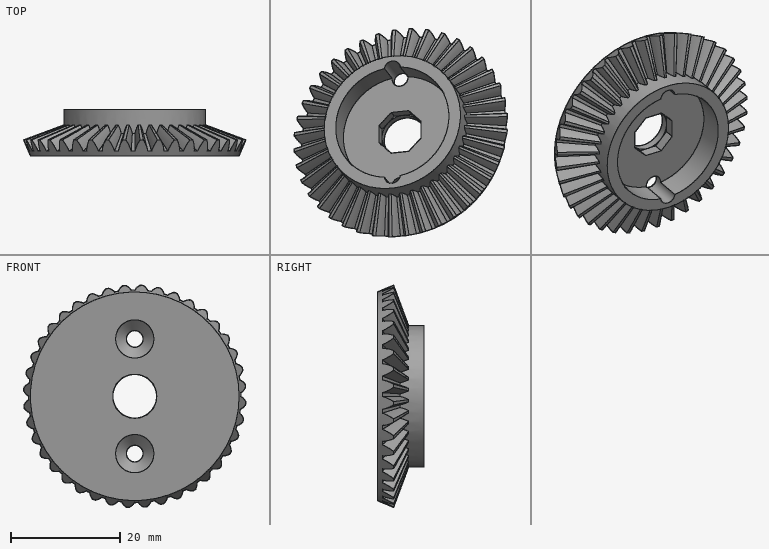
import cadquery as cq
import math


tooth_count = 40
mate_tooth_count = 17
pitch_diameter = 40.0
pitch_height = 2.08
first_tooth_angle = 5.4
gap_floor_half_width = 0.345
gap_pitch_half_width = 0.77
gap_tip_half_width = 1.3

module = pitch_diameter / tooth_count
addendum = module
dedendum = 1.25 * module
pitch_radius = pitch_diameter / 2
pitch_angle = math.atan2(tooth_count, mate_tooth_count)
apex_height = pitch_height + pitch_radius / math.tan(pitch_angle)
tooth_pitch_angle = 360 / tooth_count

total_height = 8.6
hub_radius = 13.0

bore_diameter = 8.0
bore_depth = 1.5
socket_sides = 8
socket_width = bore_diameter
web_thickness = 3.5
recess_radius = 10.8

screw_hole_diameter = 3.0
countersink_diameter = 7.0
countersink_angle = 90
screw_hole_offset = 10.5


def back_cone_point(rise):
    """Radius and height of a point on the back cone, a distance outside the pitch circle."""
    return (
        pitch_radius + rise * math.cos(pitch_angle),
        pitch_height + rise * math.sin(pitch_angle),
    )


def make_blank():
    """Turned body below the hub, with the tooth tips still joined in a full ring."""
    tip_radius, tip_height = back_cone_point(addendum)
    face_radius, _ = back_cone_point(-pitch_height / math.sin(pitch_angle))
    tip_slope = (apex_height - tip_height) / tip_radius
    hub_foot_height = apex_height - tip_slope * hub_radius
    return (
        cq.Workplane("XY")
        .moveTo(0, 0)
        .lineTo(face_radius, 0)
        .lineTo(tip_radius, tip_height)
        .lineTo(hub_radius, hub_foot_height)
        .lineTo(0, hub_foot_height)
        .close()
        .revolve(360, (0, 0, 0), (0, 1, 0))
    )


def gap_section(scale):
    """Outline of a tooth gap, square to the pitch cone and shrunk towards the cone apex."""
    center = (pitch_radius * scale, apex_height + (pitch_height - apex_height) * scale, 0)
    outward = (math.sin(pitch_angle), -math.cos(pitch_angle), 0)
    plane = cq.Plane(origin=center, xDir=(0, 0, -1), normal=outward)
    floor = -dedendum * scale
    tip = addendum * scale
    top = 2 * tip
    floor_half = gap_floor_half_width * scale
    pitch_half = gap_pitch_half_width * scale
    tip_half = gap_tip_half_width * scale
    return (
        cq.Workplane(plane)
        .moveTo(-floor_half, floor)
        .lineTo(floor_half, floor)
        .threePointArc((pitch_half, 0), (tip_half, tip))
        .lineTo(tip_half, top)
        .lineTo(-tip_half, top)
        .lineTo(-tip_half, tip)
        .threePointArc((-pitch_half, 0), (-floor_half, floor))
        .close()
        .wires()
        .val()
    )


def make_gaps():
    """All tooth gaps, running in past the hub wall, which later fills their inner ends."""
    outer_scale = 1.1
    inner_scale = 0.6
    gap = cq.Solid.makeLoft([gap_section(outer_scale), gap_section(inner_scale)], True)
    start_angle = first_tooth_angle + tooth_pitch_angle / 2
    gaps = []
    for index in range(tooth_count):
        angle = start_angle + index * tooth_pitch_angle
        gaps.append(gap.rotate(cq.Vector(0, 0, 0), cq.Vector(0, -1, 0), angle))
    return cq.Compound.makeCompound(gaps)


def cut_center(body):
    """Round bore in the face, octagonal socket with flats across X and Z, and hub recess."""
    bore = cq.Workplane("XZ").circle(bore_diameter / 2).extrude(-bore_depth)
    corner_angle = 180 / socket_sides
    socket_corner_diameter = socket_width / math.cos(math.radians(corner_angle))
    socket = (
        cq.Workplane("XZ", origin=(0, bore_depth, 0))
        .polygon(socket_sides, socket_corner_diameter)
        .extrude(bore_depth - web_thickness)
        .rotate((0, 0, 0), (0, 1, 0), corner_angle)
    )
    recess = (
        cq.Workplane("XZ", origin=(0, web_thickness, 0))
        .circle(recess_radius)
        .extrude(web_thickness - total_height)
    )
    return body.cut(bore).cut(socket).cut(recess)


def cut_screw_holes(body):
    """Two through holes above and below the bore, countersunk from the face."""
    return (
        body.faces("<Y")
        .workplane(origin=(0, 0, 0))
        .pushPoints([(0, screw_hole_offset), (0, -screw_hole_offset)])
        .cskHole(screw_hole_diameter, countersink_diameter, countersink_angle)
    )


hub = cq.Workplane("XZ").circle(hub_radius).extrude(-total_height)
toothed_ring = make_blank().cut(cq.Workplane(obj=make_gaps()))
gear = cut_center(toothed_ring.union(hub))
result = cut_screw_holes(gear)